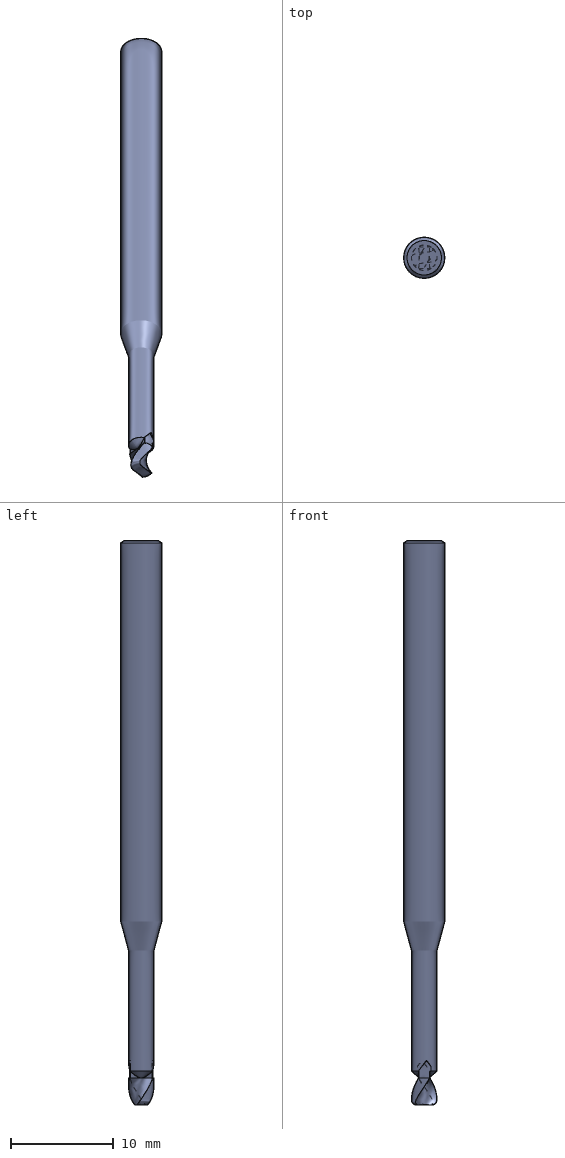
import cadquery as cq
import math

TOTAL_LENGTH = 55.0
SHANK_RADIUS = 4.0 / 2
CHAMFER_WIDTH = 0.35
CHAMFER_HEIGHT = 0.2

NECK_RADIUS = 2.5 / 2
CONE_BOTTOM = 15.0
CONE_TOP = 17.9

HEAD_HEIGHT = 2.65
CORNER_RADIUS = 0.5
CORE_HALF_THICKNESS = 0.5
LAND_HALF_THICKNESS = 0.55
HELIX_START = 8.0
HELIX_TURN = 82.0
END_DISH = 0.1
END_DISH_RADIUS = 0.55

RUNOUT_TOP = 3.3
LAND_RADIUS = 1.05
FLAT_PEAK = 4.35
FLAT_SHOULDER = 3.4
FLAT_HALF_WIDTH = 0.7
FLAT_OFFSET = 0.2


def revolve_profile(profile):
    """Turn a profile of radius and height once around Z."""
    return profile.close().revolve(360, (0, 0, 0), (0, 1, 0))


def web_outline(radius):
    """Cross-section left by two opposite flutes: a web along X with hollow sides."""
    edge_x = math.sqrt(radius**2 - LAND_HALF_THICKNESS**2)
    return (
        cq.Workplane("XY")
        .moveTo(-edge_x, -LAND_HALF_THICKNESS)
        .threePointArc((0, -CORE_HALF_THICKNESS), (edge_x, -LAND_HALF_THICKNESS))
        .threePointArc((radius, 0), (edge_x, LAND_HALF_THICKNESS))
        .threePointArc((0, CORE_HALF_THICKNESS), (-edge_x, LAND_HALF_THICKNESS))
        .threePointArc((-radius, 0), (-edge_x, -LAND_HALF_THICKNESS))
        .close()
    )


def head_envelope():
    """Round blank of the head with a corner radius and a dished end."""
    diagonal = CORNER_RADIUS * math.sqrt(0.5)
    profile = (
        cq.Workplane("XZ")
        .moveTo(0, END_DISH)
        .lineTo(END_DISH_RADIUS, 0)
        .lineTo(NECK_RADIUS - CORNER_RADIUS, 0)
        .threePointArc(
            (NECK_RADIUS - CORNER_RADIUS + diagonal, CORNER_RADIUS - diagonal),
            (NECK_RADIUS, CORNER_RADIUS),
        )
        .lineTo(NECK_RADIUS, HEAD_HEIGHT)
        .lineTo(0, HEAD_HEIGHT)
    )
    return revolve_profile(profile)


def cutting_head():
    """Two-flute head with a right-hand helix."""
    twisted_web = web_outline(NECK_RADIUS).twistExtrude(HEAD_HEIGHT, HELIX_TURN)
    twisted_web = twisted_web.rotate((0, 0, 0), (0, 0, 1), HELIX_START)
    return twisted_web.intersect(head_envelope())


def flat_cutter():
    """Pointed block that grinds a flat on the -Y side of the neck."""
    return (
        cq.Workplane("XZ", origin=(FLAT_OFFSET, -LAND_RADIUS, 0))
        .moveTo(-FLAT_HALF_WIDTH, HEAD_HEIGHT)
        .lineTo(FLAT_HALF_WIDTH, HEAD_HEIGHT)
        .lineTo(FLAT_HALF_WIDTH, FLAT_SHOULDER)
        .lineTo(0, FLAT_PEAK)
        .lineTo(-FLAT_HALF_WIDTH, FLAT_SHOULDER)
        .close()
        .extrude(NECK_RADIUS)
    )


def tool_shank():
    """Shank, cone and neck, with the ends of the flutes running out in the neck."""
    turned = revolve_profile(
        cq.Workplane("XZ")
        .moveTo(0, HEAD_HEIGHT)
        .lineTo(CORE_HALF_THICKNESS, HEAD_HEIGHT)
        .lineTo(NECK_RADIUS, RUNOUT_TOP)
        .lineTo(NECK_RADIUS, CONE_BOTTOM)
        .lineTo(SHANK_RADIUS, CONE_TOP)
        .lineTo(SHANK_RADIUS, TOTAL_LENGTH - CHAMFER_HEIGHT)
        .lineTo(SHANK_RADIUS - CHAMFER_WIDTH, TOTAL_LENGTH)
        .lineTo(0, TOTAL_LENGTH)
    )
    web_root = (
        web_outline(NECK_RADIUS)
        .extrude(RUNOUT_TOP - HEAD_HEIGHT)
        .rotate((0, 0, 0), (0, 0, 1), HELIX_START + HELIX_TURN)
        .translate((0, 0, HEAD_HEIGHT))
    )
    shank = turned.union(web_root)
    for angle in (0, 180):
        shank = shank.cut(flat_cutter().rotate((0, 0, 0), (0, 0, 1), angle))
    return shank


head = cutting_head()
shank = tool_shank()
result = cq.Compound.makeCompound([head.val(), shank.val()])